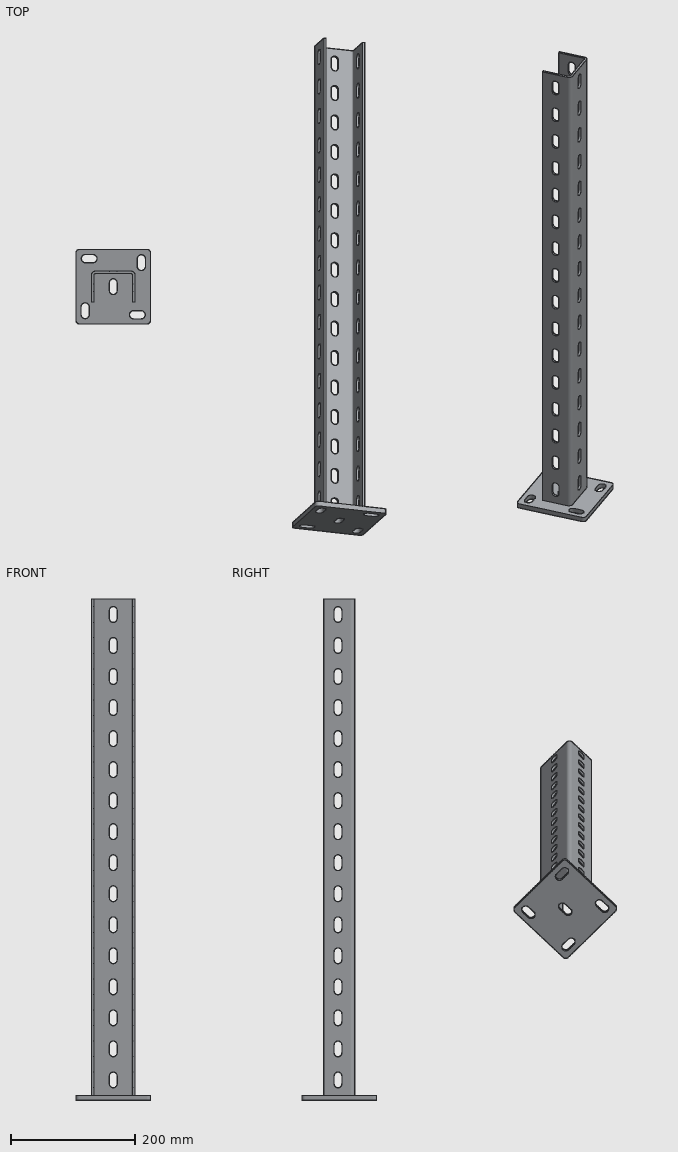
import cadquery as cq

plate_side = 120.0
plate_thickness = 8.0
plate_corner_radius = 6.0

anchor_slot_length = 25.0
anchor_slot_width = 13.0
anchor_along = 39.0
anchor_across = 45.0
anchor_count = 4

centre_slot_length = 25.0
centre_slot_width = 12.0

total_height = 808.0
column_height = total_height - plate_thickness
column_width = 70.0
column_depth = 50.0
wall = 4.0
inner_bend_radius = 2.5
outer_bend_radius = inner_bend_radius + wall

column_slot_length = 25.0
column_slot_width = 12.0
slots_per_row = 16
slot_pitch = column_height / slots_per_row
flange_slot_y = -wall / 2


def make_plate():
    return (
        cq.Workplane("XY")
        .box(plate_side, plate_side, plate_thickness, centered=(True, True, False))
        .edges("|Z")
        .fillet(plate_corner_radius)
    )


def make_plate_slots():
    slots = (
        cq.Workplane("XY")
        .slot2D(centre_slot_length, centre_slot_width, 90)
        .extrude(plate_thickness)
    )
    anchor_slot = (
        cq.Workplane("XY")
        .center(-anchor_along, anchor_across)
        .slot2D(anchor_slot_length, anchor_slot_width)
        .extrude(plate_thickness)
    )
    for i in range(anchor_count):
        angle = i * 360 / anchor_count
        slots = slots.union(anchor_slot.rotate((0, 0, 0), (0, 0, 1), angle))
    return slots


def make_column():
    outside = (
        cq.Workplane("XY", origin=(0, 0, plate_thickness))
        .rect(column_width, column_depth)
        .extrude(column_height)
        .edges("|Z and >Y")
        .fillet(outer_bend_radius)
    )
    inside = (
        cq.Workplane("XY", origin=(0, -wall, plate_thickness))
        .rect(column_width - 2 * wall, column_depth)
        .extrude(column_height)
        .edges("|Z and >Y")
        .fillet(inner_bend_radius)
    )
    return outside.cut(inside)


def make_slot_row(plane, origin, cut_length):
    """Row of upright slots up the column, cut equally to both sides of the plane."""
    first_slot_z = plate_thickness + slot_pitch / 2
    heights = [first_slot_z + i * slot_pitch for i in range(slots_per_row)]
    return (
        cq.Workplane(plane, origin=origin)
        .pushPoints([(0, z) for z in heights])
        .slot2D(column_slot_length, column_slot_width, 90)
        .extrude(cut_length / 2, both=True)
    )


plate = make_plate().cut(make_plate_slots())

web_middle = (0, (column_depth - wall) / 2, 0)
web_slots = make_slot_row("XZ", web_middle, 2 * wall)
flange_slots = make_slot_row("YZ", (0, flange_slot_y, 0), 2 * column_width)
column = make_column().cut(web_slots).cut(flange_slots)

result = plate.union(column)